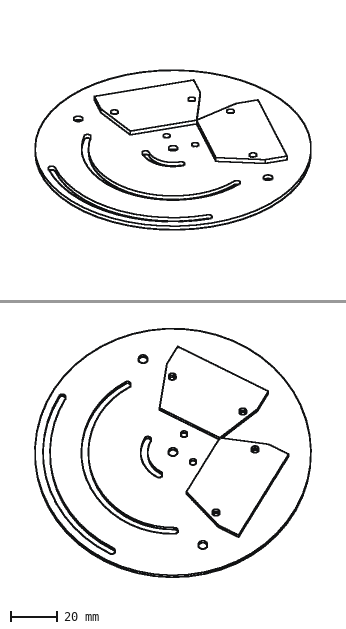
import cadquery as cq
import math

disc_diameter = 120.0
overall_height = 4.0
thickness = overall_height / 2

pivot_hole_diameter = 4.0
pilot_hole_diameter = 3.0
pilot_hole_offset = 10.0
diagonal_hole_offset = 33.2

slot_width = 3.0
curved_slots = [
    (12.5, -90.0, 0.0),
    (38.3, -120.0, 30.0),
    (55.0, -90.0, 0.0),
]

plate_inner_edge = 15.0
plate_outer_edge = 45.0
plate_narrow_width = 2 * plate_inner_edge
plate_wide_width = 45.0
plate_straight_side = 10.0
plate_hole_diameter = 3.2
plate_hole_spacing = 35.0
plate_hole_distance = 31.1
plate_angles = [0.0, 90.0]
plate_hole_points = [
    (-plate_hole_spacing / 2, plate_hole_distance),
    (plate_hole_spacing / 2, plate_hole_distance),
]


def polar(radius, angle):
    """Point at a radius and an angle in degrees about the disc axis."""
    return (radius * math.cos(math.radians(angle)), radius * math.sin(math.radians(angle)))


def make_slot_cutter(radius, start, end):
    """Arc-shaped slot with round ends, concentric with the disc."""
    inner = radius - slot_width / 2
    outer = radius + slot_width / 2
    middle = (start + end) / 2
    tip = math.degrees(slot_width / 2 / radius)
    return (
        cq.Workplane("XY")
        .moveTo(*polar(inner, start))
        .threePointArc(polar(inner, middle), polar(inner, end))
        .threePointArc(polar(radius, end + tip), polar(outer, end))
        .threePointArc(polar(outer, middle), polar(outer, start))
        .threePointArc(polar(radius, start - tip), polar(inner, start))
        .close()
        .extrude(thickness)
    )


def make_hole_cutter(points, diameter):
    """Cylinders that pierce the disc at the given points."""
    return cq.Workplane("XY").pushPoints(points).circle(diameter / 2).extrude(thickness)


def make_disc():
    """Round base disc with its holes and curved slots."""
    pivot_points = [
        (0, 0),
        (diagonal_hole_offset, diagonal_hole_offset),
        (-diagonal_hole_offset, -diagonal_hole_offset),
    ]
    pilot_points = [(-pilot_hole_offset, 0), (0, pilot_hole_offset)]
    disc = cq.Workplane("XY").circle(disc_diameter / 2).extrude(thickness)
    disc = disc.cut(make_hole_cutter(pivot_points, pivot_hole_diameter))
    disc = disc.cut(make_hole_cutter(pilot_points, pilot_hole_diameter))
    for angle in plate_angles:
        plate_holes = make_hole_cutter(plate_hole_points, plate_hole_diameter)
        disc = disc.cut(plate_holes.rotate((0, 0, 0), (0, 0, 1), angle))
    for radius, start, end in curved_slots:
        disc = disc.cut(make_slot_cutter(radius, start, end))
    return disc


def make_plate(angle):
    """Tapered plate on top of the disc, turned about the disc axis."""
    half_narrow = plate_narrow_width / 2
    half_wide = plate_wide_width / 2
    shoulder = plate_outer_edge - plate_straight_side
    plate = (
        cq.Workplane("XY", origin=(0, 0, thickness))
        .polyline([
            (-half_narrow, plate_inner_edge),
            (half_narrow, plate_inner_edge),
            (half_wide, shoulder),
            (half_wide, plate_outer_edge),
            (-half_wide, plate_outer_edge),
            (-half_wide, shoulder),
        ])
        .close()
        .extrude(thickness)
    )
    holes = (
        cq.Workplane("XY", origin=(0, 0, thickness))
        .pushPoints(plate_hole_points)
        .circle(plate_hole_diameter / 2)
        .extrude(thickness)
    )
    return plate.cut(holes).rotate((0, 0, 0), (0, 0, 1), angle)


disc = make_disc()
plates = [make_plate(angle) for angle in plate_angles]

result = cq.Compound.makeCompound([disc.val(), *[plate.val() for plate in plates]])